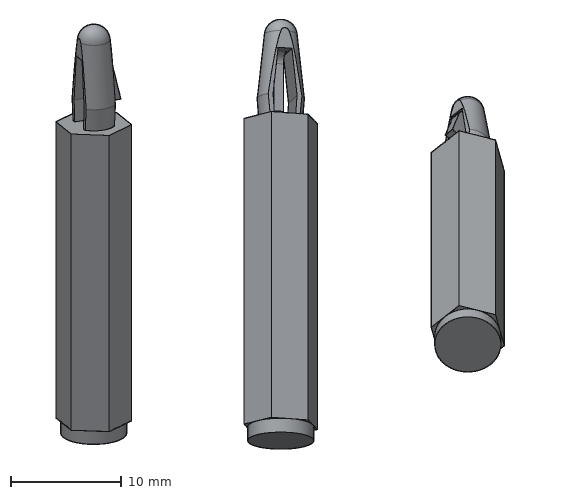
import cadquery as cq
import math

ACROSS_FLATS = 6.0
FOOT_HEIGHT = 1.3
SHOULDER_Z = 30.0

CLIP_HEIGHT = 9.5
CLIP_ROOT_RADIUS = 2.0
CLIP_BULGE_RADIUS = 2.15
DOME_BASE_RADIUS = 1.5
DOME_HEIGHT = 1.4
CLIP_WIDTH_Y = 2.9
BULGE_Z = SHOULDER_Z + 2.1
TIP_Z = SHOULDER_Z + CLIP_HEIGHT
DOME_BASE_Z = TIP_Z - DOME_HEIGHT

PRONG_THICKNESS = 1.02
SLOT_TOP_Z = SHOULDER_Z + 6.5

FINGER_WIDTH = 0.9
FINGER_THICKNESS = 0.9
FINGER_BACK_Y = 1.55
FINGER_BOTTOM_Z = SHOULDER_Z + 1.1
FINGER_FILLET = 0.95
BARB_TIP_Y = 2.5
BARB_TOP_Z = SHOULDER_Z + 6.0
BARB_BOTTOM_Z = BULGE_Z


def make_pillar():
    """Hexagon with flats facing +Y and -Y, on a foot as wide as the flats."""
    across_corners = ACROSS_FLATS / math.cos(math.pi / 6)
    foot = cq.Workplane("XY").circle(ACROSS_FLATS / 2).extrude(FOOT_HEIGHT)
    hexagon = (
        cq.Workplane("XY")
        .workplane(offset=FOOT_HEIGHT)
        .polygon(6, across_corners)
        .extrude(SHOULDER_Z - FOOT_HEIGHT)
    )
    return foot.union(hexagon)


def make_clip_body():
    """Domed double cone, trimmed flat on its +Y and -Y sides."""
    sphere_radius = (DOME_BASE_RADIUS**2 + DOME_HEIGHT**2) / (2 * DOME_HEIGHT)
    sphere_z = TIP_Z - sphere_radius
    dome_middle = sphere_radius * math.sin(math.pi / 4)
    body = (
        cq.Workplane("XZ")
        .moveTo(0, SHOULDER_Z)
        .lineTo(CLIP_ROOT_RADIUS, SHOULDER_Z)
        .lineTo(CLIP_BULGE_RADIUS, BULGE_Z)
        .lineTo(DOME_BASE_RADIUS, DOME_BASE_Z)
        .threePointArc((dome_middle, sphere_z + dome_middle), (0, TIP_Z))
        .close()
        .revolve(360, (0, 0, 0), (0, 1, 0))
    )
    trim = cq.Workplane("XY").workplane(offset=SHOULDER_Z).rect(2 * CLIP_BULGE_RADIUS, CLIP_WIDTH_Y)
    return body.intersect(trim.extrude(CLIP_HEIGHT))


def make_slot():
    """Through slot along Y whose walls follow the outer slope of the prongs."""
    taper = (CLIP_BULGE_RADIUS - DOME_BASE_RADIUS) / (DOME_BASE_Z - BULGE_Z)
    root_half = CLIP_ROOT_RADIUS - PRONG_THICKNESS
    bulge_half = CLIP_BULGE_RADIUS - PRONG_THICKNESS
    top_half = bulge_half - taper * (SLOT_TOP_Z - BULGE_Z)
    return (
        cq.Workplane("XZ")
        .moveTo(-root_half, SHOULDER_Z)
        .lineTo(root_half, SHOULDER_Z)
        .lineTo(bulge_half, BULGE_Z)
        .lineTo(top_half, SLOT_TOP_Z)
        .lineTo(-top_half, SLOT_TOP_Z)
        .lineTo(-bulge_half, BULGE_Z)
        .close()
        .extrude(CLIP_WIDTH_Y / 2, both=True)
    )


def make_latch_finger():
    """Finger and barb in one profile, blended into the head by a concave arc."""
    front_y = FINGER_BACK_Y - FINGER_THICKNESS
    fillet_y = front_y - FINGER_FILLET
    fillet_z = SLOT_TOP_Z - FINGER_FILLET
    fillet_middle = FINGER_FILLET * math.sin(math.pi / 4)
    return (
        cq.Workplane("YZ")
        .moveTo(front_y, FINGER_BOTTOM_Z)
        .lineTo(FINGER_BACK_Y, FINGER_BOTTOM_Z)
        .lineTo(FINGER_BACK_Y, BARB_BOTTOM_Z)
        .lineTo(BARB_TIP_Y, BARB_BOTTOM_Z)
        .lineTo(FINGER_BACK_Y, BARB_TOP_Z)
        .lineTo(front_y, SLOT_TOP_Z + FINGER_FILLET)
        .lineTo(fillet_y, SLOT_TOP_Z)
        .threePointArc((fillet_y + fillet_middle, fillet_z + fillet_middle), (front_y, fillet_z))
        .close()
        .extrude(FINGER_WIDTH / 2, both=True)
    )


clip = make_clip_body().cut(make_slot()).union(make_latch_finger())
result = make_pillar().union(clip)